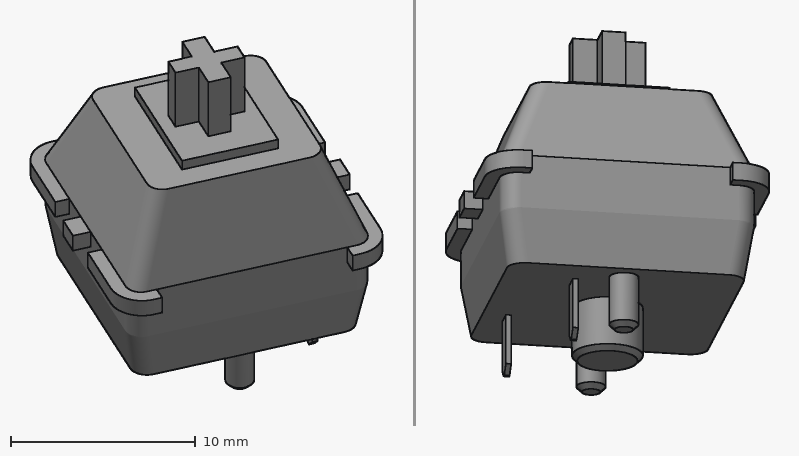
import cadquery as cq
import math

BODY_SIDE = 13.97
BOTTOM_SIDE = 13.0
TOP_SIDE = 10.0
CORNER_RADIUS = 1.0
LOWER_HEIGHT = 3.0
MIDDLE_HEIGHT = 3.0
UPPER_HEIGHT = 5.01
SHOULDER_Z = LOWER_HEIGHT + MIDDLE_HEIGHT
TOP_Z = SHOULDER_Z + UPPER_HEIGHT

RIM_SIDE = 15.6
RIM_RADIUS = 1.81
RIM_THICKNESS = 1.0
RIM_GAP_X = 5.0
RIM_GAP_Y = 11.0
MIDDLE_TAB_WIDTH = 1.5
MIDDLE_TAB_SPAN = 16.0

PAD_LENGTH = 7.22
PAD_WIDTH = 5.55
PAD_HEIGHT = 0.6
STEM_SPAN = 4.0
STEM_ARM_ALONG_X = 1.3
STEM_ARM_ALONG_Y = 1.1
STEM_HEIGHT = 3.6

PIN_LENGTH = 3.0
PIN_CHAMFER = 0.3
CENTER_PIN_DIAMETER = 3.85
SIDE_PIN_DIAMETER = 1.6
SIDE_PIN_OFFSET = 5.09

LEG_LENGTH = 3.3
LEG_WIDTH = 1.2
LEG_THICKNESS = 0.3
LEG_CHAMFER = 0.5
LEG_CENTERS = [(-3.81, 2.53), (2.53, 5.09)]


def frustum(wide_z, narrow_side, height):
    """Sharp-edged block narrowing from BODY_SIDE; a negative height points it down."""
    inset = (BODY_SIDE - narrow_side) / 2
    taper = math.degrees(math.atan2(inset, abs(height)))
    wide_end = cq.Workplane().workplane(offset=wide_z).rect(BODY_SIDE, BODY_SIDE)
    return wide_end.extrude(height, taper=taper)


def block(length, width, height, bottom_z):
    return cq.Workplane().workplane(offset=bottom_z).rect(length, width).extrude(height)


def round_corners(solid):
    """Fillet every edge that runs up the corners, upright or slanted."""
    return solid.edges("not #Z").fillet(CORNER_RADIUS)


def make_housing():
    lower = frustum(LOWER_HEIGHT, BOTTOM_SIDE, -LOWER_HEIGHT)
    middle = block(BODY_SIDE, BODY_SIDE, MIDDLE_HEIGHT, LOWER_HEIGHT)
    upper = frustum(SHOULDER_Z, TOP_SIDE, UPPER_HEIGHT)
    return round_corners(lower.union(middle)).union(round_corners(upper))


def make_rim():
    rim_z = SHOULDER_Z - RIM_THICKNESS
    plate = block(RIM_SIDE, RIM_SIDE, RIM_THICKNESS, rim_z).edges("|Z").fillet(RIM_RADIUS)
    plate = plate.cut(block(RIM_GAP_X, RIM_SIDE, RIM_THICKNESS, rim_z))
    brackets = plate.cut(block(RIM_SIDE, RIM_GAP_Y, RIM_THICKNESS, rim_z))
    middle_tabs = block(MIDDLE_TAB_WIDTH, MIDDLE_TAB_SPAN, RIM_THICKNESS, rim_z)
    return brackets.union(middle_tabs)


def make_plunger():
    pad = block(PAD_LENGTH, PAD_WIDTH, PAD_HEIGHT, TOP_Z)
    stem_z = TOP_Z + PAD_HEIGHT
    arm_along_x = block(STEM_SPAN, STEM_ARM_ALONG_X, STEM_HEIGHT, stem_z)
    arm_along_y = block(STEM_ARM_ALONG_Y, STEM_SPAN, STEM_HEIGHT, stem_z)
    return pad.union(arm_along_x).union(arm_along_y)


def make_pin(diameter, x):
    pin = cq.Workplane().center(x, 0).circle(diameter / 2).extrude(-PIN_LENGTH)
    return pin.faces("<Z").chamfer(PIN_CHAMFER)


def make_leg(x, y):
    leg = cq.Workplane().center(x, y).rect(LEG_WIDTH, LEG_THICKNESS).extrude(-LEG_LENGTH)
    return leg.faces("<Z").edges("|Y").chamfer(LEG_CHAMFER)


result = make_housing().union(make_rim()).union(make_plunger())
result = result.union(make_pin(CENTER_PIN_DIAMETER, 0))
for side in (-1, 1):
    result = result.union(make_pin(SIDE_PIN_DIAMETER, side * SIDE_PIN_OFFSET))
for leg_x, leg_y in LEG_CENTERS:
    result = result.union(make_leg(leg_x, leg_y))